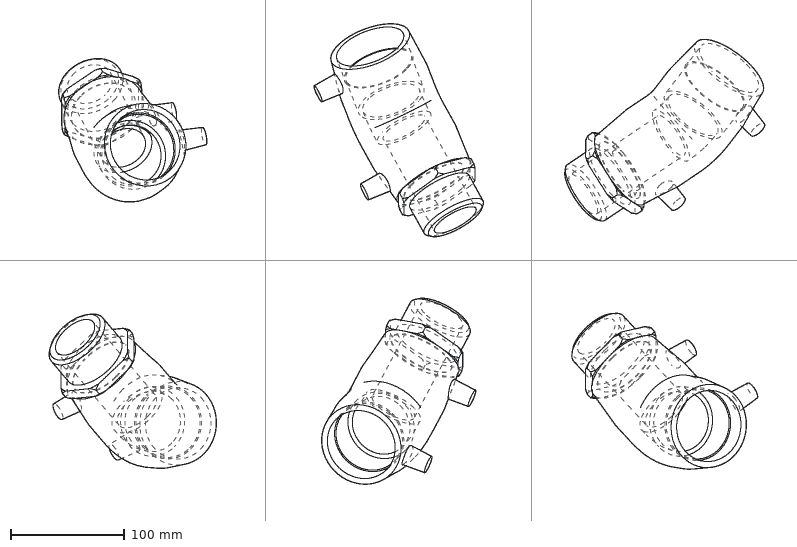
import cadquery as cq
import math

overall_length = 189.0
bend_angle = 45.0
bend_radius = 30.2
body_radius = 82.0 / 2
leg_end_radius = 36.9
leg_length = 71.5
leg_straight_end = 34.4
bend_tangent = bend_radius * math.tan(math.radians(bend_angle / 2))
leg_reach = leg_length + leg_end_radius
corner_x = overall_length - leg_reach * math.cos(math.radians(bend_angle))

spigot_radius = 59.5 / 2
spigot_bore_radius = 41.8 / 2
spigot_chamfer = 3.0
spigot_overlap = 1.9
nut_start = 30.2
nut_thickness = 10.2
nut_corner_radius = body_radius
nut_chamfer = 2.5
body_start = corner_x - leg_length

bend_bore_radius = 53.5 / 2
bore_shoulder = 14.5
socket_radius = 30.8
groove_floor = 48.8
groove_radius = 32.1
groove_mouth = 56.3
mouth_radius = 63.0 / 2

pin_tip_y = 59.0
pin_root_y = 29.9
pin_tip_radius = 8.0
pin_root_radius = 9.8
pin_position = 52.0

outlet_angle = bend_angle
inlet_angle = 180.0


def revolve_along_x(points):
    """Solid of revolution about the X axis from (x, radius) points."""
    outline = [(points[0][0], 0)] + points + [(points[-1][0], 0)]
    return cq.Workplane("XZ").polyline(outline).close().revolve(360, (0, 0, 0), (1, 0, 0))


def place_on_leg(shape, angle):
    """Turn a shape built along +X from the origin onto a leg of the elbow."""
    return shape.rotate((0, 0, 0), (0, 1, 0), -angle).translate((corner_x, 0, 0))


def make_leg():
    return revolve_along_x([
        (bend_tangent, body_radius),
        (leg_straight_end, body_radius),
        (leg_length, leg_end_radius),
    ])


def sweep_bend(section):
    """Turn a section through the bend; sketch origin lies on the inlet axis."""
    return section.revolve(bend_angle, (1.9, bend_radius), (-1.9, bend_radius))


def bend_plane():
    return cq.Workplane("YZ", origin=(corner_x - bend_tangent, 0, 0))


def make_outer_bend():
    half_chord = math.sqrt(body_radius**2 - bend_radius**2)
    half = (
        bend_plane()
        .moveTo(0, bend_radius)
        .lineTo(0, -body_radius)
        .radiusArc((half_chord, bend_radius), -body_radius)
        .close()
    )
    half_bend = sweep_bend(half)
    return half_bend.union(half_bend.mirror("XZ"))


def make_spigot():
    return revolve_along_x([
        (0, spigot_radius - spigot_chamfer),
        (spigot_chamfer, spigot_radius),
        (body_start + spigot_overlap, spigot_radius),
    ])


def make_nut():
    hexagon = (
        cq.Workplane("YZ", origin=(nut_start, 0, 0))
        .polygon(6, 2 * nut_corner_radius)
        .extrude(nut_thickness)
        .rotate((0, 0, 0), (1, 0, 0), 90)
    )
    nut_end = nut_start + nut_thickness
    chamfer_cone = revolve_along_x([
        (nut_start, nut_corner_radius - nut_chamfer),
        (nut_start + nut_chamfer, nut_corner_radius),
        (nut_end - nut_chamfer, nut_corner_radius),
        (nut_end, nut_corner_radius - nut_chamfer),
    ])
    return hexagon.intersect(chamfer_cone)


def make_pin():
    """Tapered pin along +Y at the pin position on a leg along +X."""
    outline = [
        (0, pin_root_y),
        (pin_root_radius, pin_root_y),
        (pin_tip_radius, pin_tip_y),
        (0, pin_tip_y),
    ]
    pin = cq.Workplane("XY").polyline(outline).close().revolve(360, (0, 0, 0), (0, 1, 0))
    return pin.translate((pin_position, 0, 0))


def make_outlet_bore():
    return revolve_along_x([
        (bend_tangent, bend_bore_radius),
        (bore_shoulder, bend_bore_radius),
        (bore_shoulder, socket_radius),
        (groove_floor, socket_radius),
        (groove_floor, groove_radius),
        (groove_mouth, mouth_radius),
        (leg_length, mouth_radius),
    ])


def make_inlet_bore():
    return revolve_along_x([
        (bend_tangent, bend_bore_radius),
        (bore_shoulder, bend_bore_radius),
        (bore_shoulder, spigot_bore_radius),
        (corner_x, spigot_bore_radius),
    ])


result = make_outer_bend().union(make_spigot()).union(make_nut())
for leg_angle in (inlet_angle, outlet_angle):
    result = result.union(place_on_leg(make_leg(), leg_angle))
    result = result.union(place_on_leg(make_pin(), leg_angle))

result = result.cut(sweep_bend(bend_plane().circle(bend_bore_radius)))
result = result.cut(place_on_leg(make_inlet_bore(), inlet_angle))
result = result.cut(place_on_leg(make_outlet_bore(), outlet_angle))
result = result.solids()